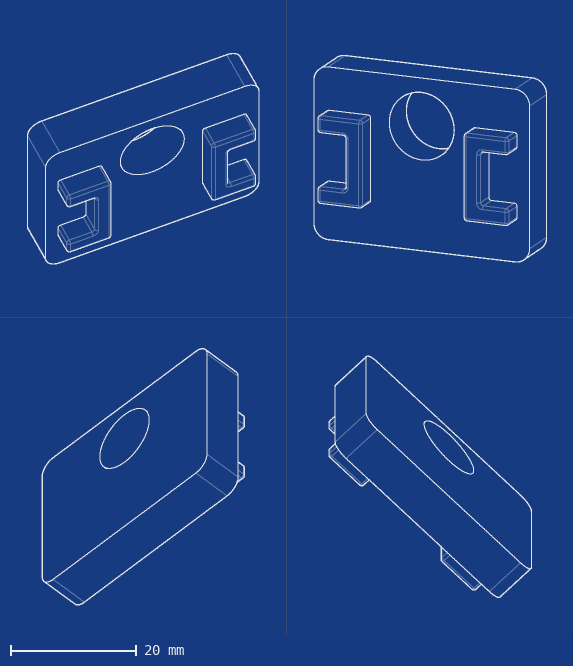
import cadquery as cq

plate_width = 37.3
plate_height = 28.7
overall_depth = 10.8
plate_thickness = 7.0
plate_corner_radius = 2.5

hole_diameter = 11.2
hole_height = 6.35

key_depth = overall_depth - plate_thickness
key_width = 7.7
key_height = 14.55
key_wall = 2.8
key_edge_inset = 2.15
key_center_height = -0.1
key_edge_radius = 0.5


def make_plate():
    """Rounded plate with its back face at X = 0 and its key face at +X."""
    plate = (
        cq.Workplane("YZ")
        .rect(plate_width, plate_height)
        .extrude(plate_thickness)
        .edges("|X")
        .fillet(plate_corner_radius)
    )
    hole = (
        cq.Workplane("YZ")
        .center(0, hole_height)
        .circle(hole_diameter / 2)
        .extrude(plate_thickness)
    )
    return plate.cut(hole)


def make_key():
    """C-shaped key on the -Y side, with rounded corners and a rounded tip."""
    outer_y = -plate_width / 2 + key_edge_inset
    inner_y = outer_y + key_width
    web_y = inner_y - key_wall
    top_z = key_center_height + key_height / 2
    bottom_z = key_center_height - key_height / 2
    outline = [
        (outer_y, bottom_z),
        (inner_y, bottom_z),
        (inner_y, top_z),
        (outer_y, top_z),
        (outer_y, top_z - key_wall),
        (web_y, top_z - key_wall),
        (web_y, bottom_z + key_wall),
        (outer_y, bottom_z + key_wall),
    ]
    return (
        cq.Workplane("YZ", origin=(plate_thickness, 0, 0))
        .polyline(outline)
        .close()
        .extrude(key_depth)
        .edges("|X")
        .fillet(key_edge_radius)
        .faces(">X")
        .edges()
        .fillet(key_edge_radius)
    )


key = make_key()
result = make_plate().union(key).union(key.mirror("XZ"))